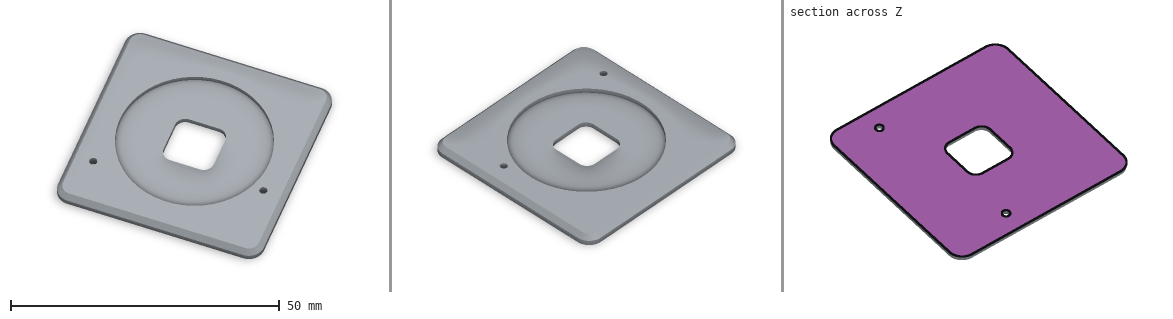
import cadquery as cq

side = 41
thickness = 2.0
corner_radius = 3.0
edge_chamfer = 1.0

recess_diameter = 29.6
recess_depth = 1.0

window_side = 10.0
window_corner_radius = 2.0

hole_diameter = 1.5
hole_centers = [(-16, -11.0), (16, -6.0)]


def rounded_square_block(width, radius):
    """Plate-thick block standing on Z = 0 with rounded vertical edges."""
    block = cq.Workplane("XY").box(width, width, thickness, centered=(True, True, False))
    return block.edges("|Z").fillet(radius)


plate = rounded_square_block(side, corner_radius).faces(">Z").chamfer(edge_chamfer)

recess = (
    cq.Workplane("XY")
    .workplane(offset=thickness - recess_depth)
    .circle(recess_diameter / 2)
    .extrude(recess_depth)
)
window = rounded_square_block(window_side, window_corner_radius)
holes = (
    cq.Workplane("XY")
    .pushPoints(hole_centers)
    .circle(hole_diameter / 2)
    .extrude(thickness)
)

result = plate.cut(recess).cut(window).cut(holes)